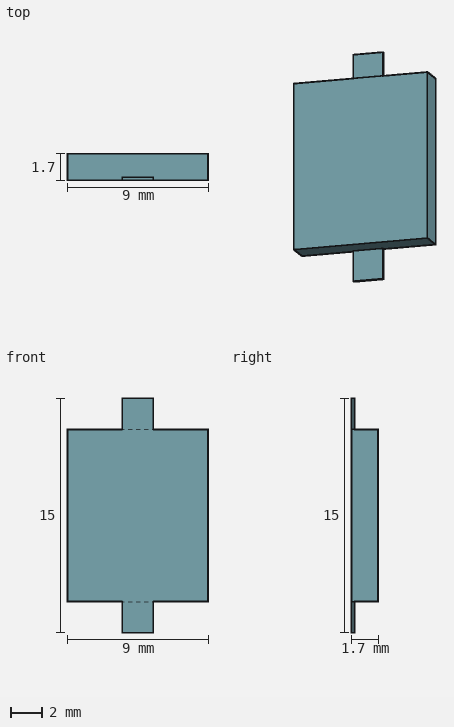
import cadquery as cq

body_width = 9.0
body_depth = 1.7
body_height = 11.0

tab_width = 2.0
tab_thickness = 0.2
tab_length = 2.0

front_face_y = -body_depth / 2


def block(width, depth, height):
    """Box centred in X and Z, with its front on the front face plane."""
    return (
        cq.Workplane("XY")
        .box(width, depth, height, centered=(True, False, True))
        .translate((0, front_face_y, 0))
    )


body = block(body_width, body_depth, body_height)

tab_strip = block(tab_width, tab_thickness, body_height + 2 * tab_length)

result = body.union(tab_strip).clean()